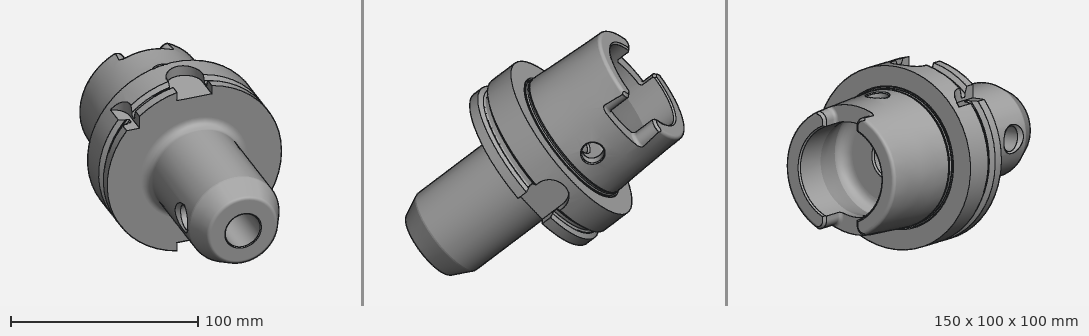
import cadquery as cq
import math


total_length = 150.0
gauge_x = 50.0
flange_width = 29.0
flange_end_x = gauge_x + flange_width

taper_rate = 0.1
taper_large_radius = 37.6
taper_end_x = 47.2
front_edge_fillet = 2.0
taper_small_radius = taper_large_radius - taper_rate / 2 * (taper_end_x - front_edge_fillet)
relief_depth = 0.5
relief_lip = 0.9
recess_radius = 39.0
recess_chamfer = 0.6

flange_diameter = 100.0
flange_radius = flange_diameter / 2
groove_x = 69.8
groove_width = 6.8
groove_slot_width = 3.6
groove_bottom_radius = 45.8
groove_bottom_fillet = 0.9
groove_flank_angle = 30.0

body_diameter = 51.5
body_radius = body_diameter / 2
body_fillet = 5.0
nose_length = 12.8
nose_angle = 25.0
nose_fillet = 2.2
nose_end_radius = body_radius - nose_length * math.tan(math.radians(nose_angle))

clamp_bore_diameter = 53.0
clamp_bore_depth = 20.0
clamp_mouth_chamfer = 0.9
undercut_diameter = 63.0
undercut_x = 40.5
seat_diameter = 49.6
seat_fillet = (undercut_diameter - seat_diameter) / 2
seat_x = undercut_x + seat_fillet
tube_bore_diameter = 22.5
tube_bore_chamfer = 0.98
tube_bore_depth = 21.0
coolant_diameter = 12.0

tool_bore_diameter = 20.0
tool_bore_chamfer = 0.52
tool_bore_depth = 52.0

slot_width = 20.0
slot_inner_z = 18.0
slot_shoulder_z = 32.1
slot_corner_radius = 5.0
slot_floor_fillet = 2.0
slot_front_chamfer = 1.5
slot_depth_top = 10.0
slot_depth_bottom = 15.0

access_hole_x = 35.0
access_hole_diameter = 12.0
access_hole_chamfer = 0.6
screw_x = total_length - 24.6
screw_diameter = 13.8
screw_mouth_diameter = 18.3

pocket_width = 20.0
pocket_radius = pocket_width / 2
pocket_center_x = 64.8
keyway_floor = 44.0
notch_floor_z = 31.5
notch_wall_y = -notch_floor_z

cut_margin = 1.5


def x_cylinder(diameter, start_x, end_x):
    return cq.Workplane("YZ", origin=(start_x, 0, 0)).circle(diameter / 2).extrude(end_x - start_x)


def turned(profile):
    return profile.close().revolve(360, (0, 0, 0), (1, 0, 0))


def shank():
    relief_radius = taper_large_radius - relief_depth
    profile = (
        cq.Workplane("XY")
        .lineTo(0, taper_small_radius - front_edge_fillet)
        .radiusArc((front_edge_fillet, taper_small_radius), front_edge_fillet)
        .lineTo(taper_end_x, taper_large_radius)
        .lineTo(taper_end_x + relief_lip, relief_radius)
        .lineTo(gauge_x - relief_lip, relief_radius)
        .lineTo(gauge_x, taper_large_radius)
        .lineTo(gauge_x, 0)
    )
    return turned(profile)


def flange_and_body():
    nose_x = total_length - nose_length
    profile = (
        cq.Workplane("XY")
        .moveTo(gauge_x, 0)
        .lineTo(gauge_x, flange_radius)
        .lineTo(flange_end_x, flange_radius)
        .lineTo(flange_end_x, body_radius + body_fillet)
        .radiusArc((flange_end_x + body_fillet, body_radius), -body_fillet)
        .lineTo(nose_x, body_radius)
        .lineTo(total_length, nose_end_radius)
        .lineTo(total_length, 0)
    )
    nose_edges = cq.selectors.BoxSelector(
        (nose_x - cut_margin, -body_radius, -body_radius),
        (total_length + cut_margin, body_radius, body_radius),
    )
    return turned(profile).edges("%CIRCLE").edges(nose_edges).fillet(nose_fillet)


def face_recess():
    """Ring sunk into the flange face, with a chamfered outer wall."""
    floor_x = gauge_x + recess_chamfer
    profile = (
        cq.Workplane("XY")
        .moveTo(gauge_x, taper_large_radius)
        .lineTo(gauge_x, recess_radius)
        .lineTo(floor_x, recess_radius - recess_chamfer)
        .lineTo(floor_x, taper_large_radius)
    )
    return turned(profile)


def gripping_groove():
    half_top = groove_width / 2
    half_slot = groove_slot_width / 2
    half_bottom = half_slot - groove_bottom_fillet
    flank_height = (half_top - half_slot) / math.tan(math.radians(groove_flank_angle))
    flank_radius = flange_radius - flank_height
    fillet_radius = groove_bottom_radius + groove_bottom_fillet
    profile = (
        cq.Workplane("XY")
        .moveTo(groove_x - half_top, flange_radius + cut_margin)
        .lineTo(groove_x - half_top, flange_radius)
        .lineTo(groove_x - half_slot, flank_radius)
        .lineTo(groove_x - half_slot, fillet_radius)
        .radiusArc((groove_x - half_bottom, groove_bottom_radius), -groove_bottom_fillet)
        .lineTo(groove_x + half_bottom, groove_bottom_radius)
        .radiusArc((groove_x + half_slot, fillet_radius), -groove_bottom_fillet)
        .lineTo(groove_x + half_slot, flank_radius)
        .lineTo(groove_x + half_top, flange_radius)
        .lineTo(groove_x + half_top, flange_radius + cut_margin)
    )
    return turned(profile)


def drive_slot(depth):
    """Slot at +Z, open to the small end, that widens over rounded shoulders."""
    half = slot_width / 2
    shoulder_y = half + slot_corner_radius
    outer = flange_radius + cut_margin
    arc_z = slot_shoulder_z - slot_corner_radius
    slot = (
        cq.Workplane("YZ", origin=(-cut_margin, 0, 0))
        .moveTo(-half, slot_inner_z)
        .lineTo(half, slot_inner_z)
        .lineTo(half, arc_z)
        .radiusArc((shoulder_y, slot_shoulder_z), slot_corner_radius)
        .lineTo(outer, slot_shoulder_z)
        .lineTo(outer, outer)
        .lineTo(-outer, outer)
        .lineTo(-outer, slot_shoulder_z)
        .lineTo(-shoulder_y, slot_shoulder_z)
        .radiusArc((-half, arc_z), slot_corner_radius)
        .close()
        .extrude(depth + cut_margin)
    )
    return slot.faces(">X").edges().fillet(slot_floor_fillet)


def slotted_block():
    """Block around the shank with both drive slots and their chamfered front edges."""
    block = cq.Workplane("YZ").rect(2 * flange_radius, 2 * flange_radius).extrude(gauge_x)
    block = block.cut(drive_slot(slot_depth_top))
    block = block.cut(drive_slot(slot_depth_bottom).mirror("XY"))
    return block.faces("<X").edges().chamfer(slot_front_chamfer)


def taper_bores():
    clamp_radius = clamp_bore_diameter / 2
    undercut_radius = undercut_diameter / 2
    tube_radius = tube_bore_diameter / 2
    profile = (
        cq.Workplane("XY")
        .lineTo(0, clamp_radius + clamp_mouth_chamfer)
        .lineTo(clamp_mouth_chamfer, clamp_radius)
        .lineTo(clamp_bore_depth, clamp_radius)
        .lineTo(undercut_x, undercut_radius)
        .radiusArc((seat_x, seat_diameter / 2), seat_fillet)
        .lineTo(seat_x, tube_radius + tube_bore_chamfer)
        .lineTo(seat_x + tube_bore_chamfer, tube_radius)
        .lineTo(seat_x + tube_bore_depth, tube_radius)
        .lineTo(seat_x + tube_bore_depth, 0)
    )
    return turned(profile)


def tool_bore():
    bore = x_cylinder(tool_bore_diameter, total_length - tool_bore_depth, total_length)
    mouth_radius = tool_bore_diameter / 2 + tool_bore_chamfer
    mouth = cq.Solid.makeCone(
        mouth_radius, tool_bore_diameter / 2, tool_bore_chamfer,
        cq.Vector(total_length, 0, 0), cq.Vector(-1, 0, 0),
    )
    return bore.union(cq.Workplane(mouth))


def with_access_hole(body):
    """Hole along Z through both walls of the taper, chamfered at both mouths."""
    hole = cq.Workplane("XY", origin=(access_hole_x, 0, 0))
    hole = hole.circle(access_hole_diameter / 2).extrude(flange_radius, both=True)
    drilled = body.cut(hole)
    reach = access_hole_diameter / 2
    for side in (1, -1):
        low = (access_hole_x - reach, -reach, side * slot_shoulder_z)
        high = (access_hole_x + reach, reach, side * flange_radius)
        mouth = cq.selectors.BoxSelector(low, high)
        drilled = drilled.edges(mouth).chamfer(access_hole_chamfer)
    return drilled


def screw_hole():
    """Clamping-screw hole from -Y into the tool bore, with a 90 degree countersink."""
    hole = cq.Solid.makeCylinder(
        screw_diameter / 2, body_radius + cut_margin, cq.Vector(screw_x, 0, 0), cq.Vector(0, -1, 0)
    )
    mouth_radius = screw_mouth_diameter / 2
    countersink = cq.Solid.makeCone(
        mouth_radius, 0, mouth_radius, cq.Vector(screw_x, -body_radius, 0), cq.Vector(0, 1, 0)
    )
    return cq.Workplane(hole).union(cq.Workplane(countersink))


def round_end_pocket(center_y, floor_z):
    """Upward pocket with a round inner end, open through the tool-side flange face."""
    height = flange_radius + cut_margin - floor_z
    length = flange_end_x - pocket_center_x
    plane = cq.Workplane("XY", origin=(pocket_center_x, center_y, floor_z))
    end = plane.circle(pocket_radius).extrude(height)
    run = plane.center(length / 2, 0).rect(length, pocket_width).extrude(height)
    return end.union(run)


result = shank().intersect(slotted_block())
result = with_access_hole(result)
result = result.union(flange_and_body()).cut(face_recess()).cut(gripping_groove())

keyway = round_end_pocket(0, keyway_floor)
notch = round_end_pocket(notch_wall_y - pocket_radius, notch_floor_z)
result = result.cut(keyway).cut(keyway.mirror("XY")).cut(notch)

result = result.cut(taper_bores()).cut(tool_bore())
result = result.cut(x_cylinder(coolant_diameter, 0, total_length))
result = result.cut(screw_hole())